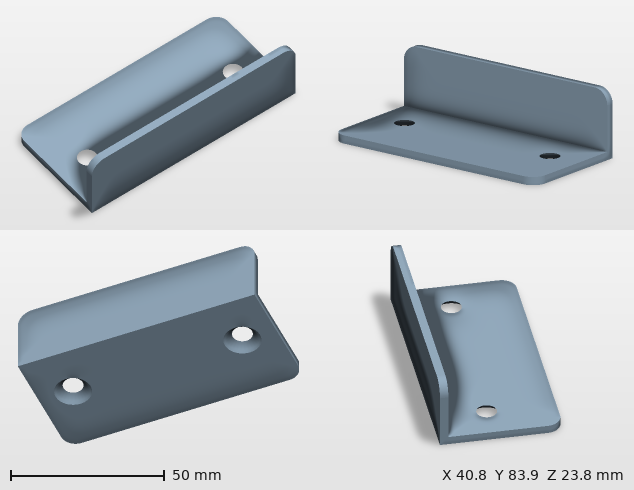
import cadquery as cq
import math

width = 40.8
length = 83.85
height = 23.8
thickness = 2.8

base_corner_radius = 5.0
wall_corner_radius = 5.2

hole_diameter = 6.8
countersink_angle = 90.0
hole_spacing = 60.0
hole_edge_distance = 23.0


def make_base():
    """Flat base with its two free corners rounded."""
    base = cq.Workplane("XY").box(width, length, thickness, centered=(False, True, False))
    return base.edges("|Z and <X").fillet(base_corner_radius)


def make_wall():
    """Upright wall along the +X edge with its two top corners rounded."""
    wall = (
        cq.Workplane("XY")
        .box(thickness, length, height, centered=(False, True, False))
        .translate((width - thickness, 0, 0))
    )
    return wall.edges("|X and >Z").fillet(wall_corner_radius)


def drill_holes(body):
    """Cut the pair of conical holes, narrowing from the underside to the top face."""
    top_radius = hole_diameter / 2
    bottom_radius = top_radius + thickness * math.tan(math.radians(countersink_angle / 2))
    cone = cq.Solid.makeCone(bottom_radius, top_radius, thickness)
    for side in (-1, 1):
        hole_centre = cq.Vector(hole_edge_distance, side * hole_spacing / 2, 0)
        body = body.cut(cq.Workplane(cone.translate(hole_centre)))
    return body


result = drill_holes(make_base().union(make_wall()))